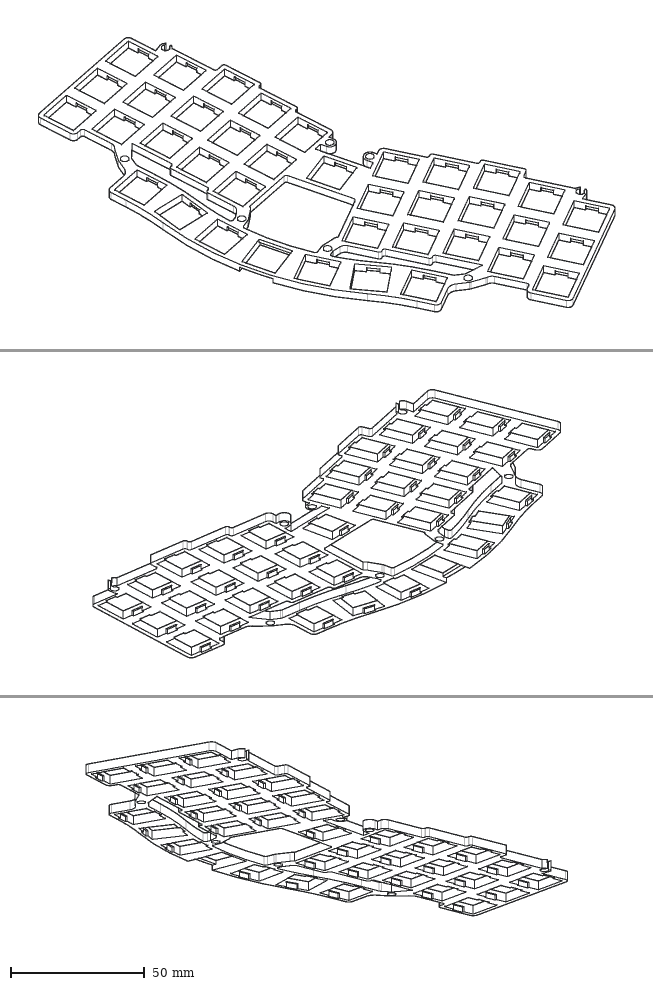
import cadquery as cq
import math

thickness = 3.5
lip = 1.5
opening_side = 14.0
wall = 2.0
cell = opening_side + 2 * wall
rim = cell / 2
notch_width = 5.0
notch_depth = 0.8

pitch = 19.05
tilt = 10.0
rows = 3
inner_column_u = 24.24
inner_column_v = 3.63
column_steps = [0, pitch / 8, pitch / 4, 0, -pitch / 4]
columns = len(column_steps)
outer_column = columns - 1
column_height = (rows - 1) * pitch + cell
clip_column = 3

thumb_radius = 117.0
thumb_step = 10.0
last_thumb_key = 3
turning_key = 2
thumb_middle_y = -39.65
thumb_centre_y = thumb_middle_y + thumb_radius

centre_key_y = 12.88

screw_diameter = 3.2
boss_radius = 2.5
outer_clip = (87.43, 46.37)
clip_gap = 2.0
web_length = 4.0
web_width = 5.0
inner_boss = (8.47, 27.59)
tie_length = 5.0
outer_neck_screw = (72.4, -15.85)
outer_neck_ends = [(76.4, -11.0), (76.2, -8.0), (67.0, -20.0)]
inner_neck_screw = (18.1, -25.42)
inner_neck_ends = [(20.0, -20.0), (18.1, -30.0)]

corner = 2.0
small_corner = 1.0
search = 0.6

inside_corners = [
    ((78.9, -10.9), 3.0),
    ((68.0, -22.3), 4.0),
    ((66.9, -16.9), corner),
    ((22.35, -20.9), 3.0),
    ((20.6, -28.7), small_corner),
    ((15.6, -29.5), small_corner),
    ((14.8, 3.9), small_corner),
]


def tilted(u, v):
    """Turn a point of the tilted axes into part axes."""
    a = math.radians(tilt)
    return (u * math.cos(a) - v * math.sin(a), u * math.sin(a) + v * math.cos(a))


def column_u(column):
    return inner_column_u + column * pitch


def column_v(column):
    return inner_column_v + column_steps[column]


def thumb_angle(key):
    return thumb_step * min(key, 2 * turning_key - key)


def thumb_point(key, offset=0.0):
    """Point on the middle line of a thumb key, offset towards the key's top."""
    a = math.radians(thumb_angle(key))
    if key <= turning_key:
        r = thumb_radius - offset
        return (r * math.sin(a), thumb_centre_y - r * math.cos(a))
    turn = math.radians(thumb_angle(turning_key))
    reversed_x = 2 * thumb_radius * math.sin(turn)
    reversed_y = thumb_centre_y - 2 * thumb_radius * math.cos(turn)
    r = thumb_radius + offset
    return (reversed_x - r * math.sin(a), reversed_y + r * math.cos(a))


def block(centre, angle, length, width, height=thickness):
    """Block on the base plane, turned about its centre."""
    base = cq.Workplane("XY").transformed(rotate=(0, 0, angle), offset=(centre[0], centre[1], 0))
    return base.rect(length, width).extrude(height)


def disc(centre, radius):
    return cq.Workplane("XY").center(*centre).circle(radius).extrude(thickness)


def band(start, end):
    """Round-ended bar between two points."""
    dx, dy = end[0] - start[0], end[1] - start[1]
    middle = (start[0] + dx / 2, start[1] + dy / 2)
    bar = block(middle, math.degrees(math.atan2(dy, dx)), math.hypot(dx, dy), 2 * boss_radius)
    return bar.union(disc(start, boss_radius)).union(disc(end, boss_radius))


def round_corners(body, points, radius):
    """Round the upright edges next to the given points."""
    for x, y in points:
        near = cq.selectors.BoxSelector((x - search, y - search, 0), (x + search, y + search, thickness))
        body = body.edges("|Z").edges(near).fillet(radius)
    return body


def column_field():
    """Stepped block of the key columns, without openings."""
    field = block(tilted(column_u(0), column_v(0)), tilt, cell, column_height)
    for column in range(1, columns):
        here, before = column_v(column), column_v(column - 1)
        joint_centre = tilted(column_u(column) - pitch / 2, (here + before) / 2)
        joint = block(joint_centre, tilt, pitch - rim, column_height - abs(here - before))
        body = block(tilted(column_u(column), here), tilt, cell, column_height)
        field = field.union(joint).union(body)
    field = field.clean()

    def column_corner(column, side, end):
        return tilted(column_u(column) + side * rim, column_v(column) + end * column_height / 2)

    wide_corners = [
        column_corner(outer_column, 1, 1),
        column_corner(outer_column, 1, -1),
        column_corner(outer_column, -1, -1),
        column_corner(0, -1, 1),
    ]
    step_corners = []
    for edge in field.edges("|Z").vals():
        point = (edge.Center().x, edge.Center().y)
        if min(math.dist(point, wide) for wide in wide_corners) > search:
            step_corners.append(point)
    field = round_corners(field, wide_corners, corner)
    return round_corners(field, step_corners, small_corner)


def thumb_bar():
    """Curved bar of the thumb keys, without openings."""
    end_angle = math.radians(thumb_angle(last_thumb_key))
    reach_x, reach_y = rim * math.cos(end_angle), rim * math.sin(end_angle)
    low_x, low_y = thumb_point(last_thumb_key, -rim)
    high_x, high_y = thumb_point(last_thumb_key, rim)
    low_corner = (low_x + reach_x, low_y + reach_y)
    high_corner = (high_x + reach_x, high_y + reach_y)
    past_turn = (turning_key + last_thumb_key) / 2
    bar = (
        cq.Workplane("XY")
        .moveTo(*thumb_point(0, -rim))
        .threePointArc(thumb_point(turning_key / 2, -rim), thumb_point(turning_key, -rim))
        .threePointArc(thumb_point(past_turn, -rim), (low_x, low_y))
        .lineTo(*low_corner)
        .lineTo(*high_corner)
        .lineTo(high_x, high_y)
        .threePointArc(thumb_point(past_turn, rim), thumb_point(turning_key, rim))
        .threePointArc(thumb_point(turning_key / 2, rim), thumb_point(0, rim))
        .close()
        .extrude(thickness)
    )
    return round_corners(bar, [low_corner], corner)


def clip_web():
    """Fills the corner between the outer clip and the column beside it."""
    u = column_u(clip_column) + rim + web_length / 2 - small_corner
    v = column_v(clip_column) + column_height / 2 - web_width / 2
    return block(tilted(u, v), tilt, web_length, web_width)


def neck(screw, ends):
    """Bands that run from a screw boss to the given ends."""
    body = disc(screw, boss_radius)
    for end in ends:
        body = body.union(band(screw, end))
    return body


def opening(centre, angle):
    """Through opening with a clip notch under the lip of two opposite walls."""
    through = block(centre, angle, opening_side, opening_side)
    notch = block(centre, angle, notch_width, opening_side + 2 * notch_depth, thickness - lip)
    return through.union(notch)


def half_openings():
    places = []
    for column in range(columns):
        for row in range(rows):
            v = column_v(column) + (row - 1) * pitch
            places.append((tilted(column_u(column), v), tilt))
    for key in range(1, last_thumb_key + 1):
        places.append((thumb_point(key), thumb_angle(key)))
    return [opening(centre, angle) for centre, angle in places]


def plate_half():
    half = column_field().union(thumb_bar())
    half = half.union(block((pitch / 2, centre_key_y), 0, pitch, cell))
    half = half.union(band(outer_clip, (outer_clip[0], outer_clip[1] - tie_length))).union(clip_web())
    half = half.union(band(inner_boss, (inner_boss[0] + tie_length, inner_boss[1])))
    half = half.union(neck(outer_neck_screw, outer_neck_ends))
    half = half.union(neck(inner_neck_screw, inner_neck_ends))
    half = half.clean()
    for point, radius in inside_corners:
        half = round_corners(half, [point], radius)
    for point in (outer_clip, inner_boss, outer_neck_screw, inner_neck_screw):
        half = half.cut(disc(point, screw_diameter / 2))
    half = half.cut(block((outer_clip[0], outer_clip[1] + boss_radius), 0, clip_gap, 2 * boss_radius))
    for cutter in half_openings():
        half = half.cut(cutter)
    return half


half = plate_half()
result = half.union(half.mirror("YZ"))

for y in (centre_key_y, thumb_middle_y):
    result = result.cut(opening((0, y), 0))

gap_top = thumb_middle_y + opening_side / 2 + notch_depth
gap_bottom = thumb_middle_y - rim - wall
gap_centre = (0, (gap_top + gap_bottom) / 2)
result = result.cut(block(gap_centre, 0, opening_side, gap_top - gap_bottom, thickness - lip))